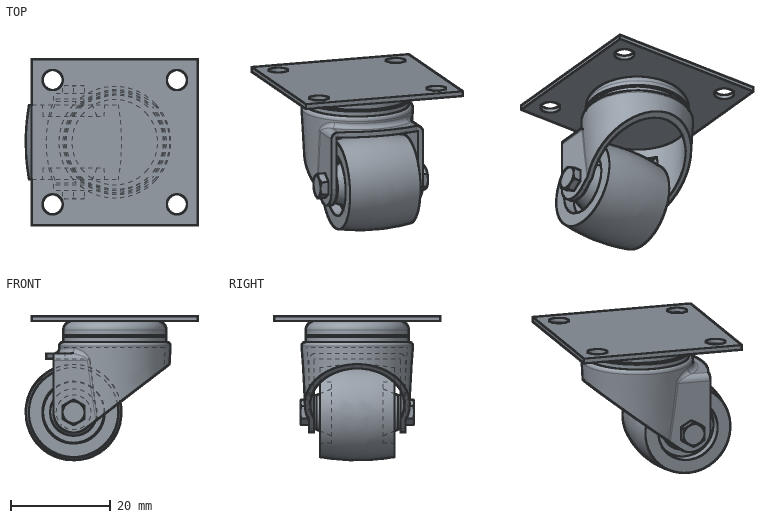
import cadquery as cq
import math


overall_height = 29.02

plate_side = 33.42
plate_thickness = 1.0
hole_diameter = 4.0
hole_spacing = 25.0

cup_radius = 10.4
cup_edge_fillet = 1.8
cup_bottom_z = -3.8
neck_radius = 9.75
ring_top_z = -4.2
ring_bottom_z = -5.2

sheet_thickness = 1.1
crown_radius = 11.24
crown_edge_fillet = crown_radius - cup_radius
crown_draft = math.radians(3.2)
crown_back_z = -9.66
arm_outer_y = 9.75
arm_top_z = -7.5
arm_end_radius = 4.05
arm_bend_radius = 1.4
blend_radius = 1.0
lip_half_width = 8.35
lip_bulge = 1.48

wheel_x = -8.29
wheel_radius = 9.66
wheel_z = wheel_radius - overall_height
wheel_side_radius = 9.0
wheel_half_width = 7.5
recess_mouth_radius = 6.27
recess_floor_radius = 6.13
recess_floor_y = 5.2
hub_base_radius = 4.72
hub_end_radius = 3.5
hub_shoulder_y = 8.2

hex_flats = 4.45
bolt_end_y = 11.45
bolt_end_radius = 2.22
bolt_chamfer_angle = math.radians(30)

crown_base_z = ring_bottom_z - crown_edge_fillet
trim_allowance = 1.0
fork_bottom_z = wheel_z - arm_end_radius - trim_allowance
arm_inner_y = arm_outer_y - sheet_thickness
arm_ceiling_z = arm_top_z - sheet_thickness
arm_front_x = wheel_x - arm_end_radius


def crown_radius_at(z):
    """Outer radius of the drafted crown wall at height z."""
    return crown_radius - (crown_base_z - z) * math.tan(crown_draft)


def revolve_about_z(points):
    return cq.Workplane("XZ").polyline(points).close().revolve(360, (0, 0), (0, 1))


def make_disc(radius, bottom_z, top_z):
    return cq.Workplane("XY", origin=(0, 0, bottom_z)).circle(radius).extrude(top_z - bottom_z)


def make_plate():
    plate = cq.Workplane("XY").rect(plate_side, plate_side).extrude(-plate_thickness)
    holes = (
        cq.Workplane("XY")
        .rect(hole_spacing, hole_spacing, forConstruction=True)
        .vertices()
        .circle(hole_diameter / 2)
        .extrude(-plate_thickness)
    )
    return plate.cut(holes)


def make_bearing():
    cup = make_disc(cup_radius, cup_bottom_z, -plate_thickness).edges(">Z").fillet(cup_edge_fillet)
    neck = make_disc(neck_radius, ring_top_z, cup_bottom_z)
    ring = make_disc(cup_radius, ring_bottom_z, ring_top_z)
    return cup.union(neck).union(ring)


def make_crown_and_arm_block():
    """Solid outer form of the fork: drafted cone, arm block and the blend between them."""
    tolerance = 0.01
    cone = revolve_about_z([
        (0, crown_base_z),
        (crown_radius, crown_base_z),
        (crown_radius_at(fork_bottom_z), fork_bottom_z),
        (0, fork_bottom_z),
    ])
    block = (
        cq.Workplane("XY")
        .box(-arm_front_x, 2 * arm_outer_y, arm_top_z - fork_bottom_z, centered=(False, True, False))
        .translate((arm_front_x, 0, fork_bottom_z))
        .edges("|X and >Z")
        .fillet(arm_bend_radius)
    )
    body = cone.union(block)
    above_bottom = [edge for edge in body.edges().vals() if edge.Center().z > fork_bottom_z + tolerance]
    below_top = [edge for edge in above_bottom if edge.BoundingBox().zmax < arm_top_z + tolerance]

    def lies_on_cone(edge):
        return all(
            abs(math.hypot(point.x, point.y) - crown_radius_at(point.z)) < tolerance
            for point in edge.positions([0, 0.3, 0.7, 1])
        )

    seam = [edge for edge in below_top if lies_on_cone(edge)]
    return body.newObject(seam).fillet(blend_radius)


def make_fork_cavity():
    """Space inside the fork: drafted inside the crown, straight between the arms."""
    cavity_top_z = ring_bottom_z - sheet_thickness
    cone = revolve_about_z([
        (0, cavity_top_z),
        (crown_radius_at(cavity_top_z) - sheet_thickness, cavity_top_z),
        (crown_radius_at(fork_bottom_z) - sheet_thickness, fork_bottom_z),
        (0, fork_bottom_z),
    ])
    between_arms = (
        cq.Workplane("XY")
        .box(-arm_front_x, 2 * arm_inner_y, arm_ceiling_z - fork_bottom_z, centered=(False, True, False))
        .translate((arm_front_x, 0, fork_bottom_z))
    )
    return cone.union(between_arms)


def make_fork_side_outline():
    """Side outline: vertical front edge, round arm end and a slanted back edge tangent to it."""
    back_x = crown_radius_at(crown_back_z)
    run = back_x - wheel_x
    rise = crown_back_z - wheel_z
    slant = math.atan2(rise, run) + math.asin(arm_end_radius / math.hypot(run, rise))

    def arm_end_point(angle):
        return (wheel_x + arm_end_radius * math.cos(angle), wheel_z + arm_end_radius * math.sin(angle))

    tangent_angle = slant - math.pi / 2
    arc_middle_angle = (tangent_angle - math.pi) / 2
    return (
        cq.Workplane("XZ")
        .moveTo(arm_front_x, 0)
        .lineTo(*arm_end_point(-math.pi))
        .threePointArc(arm_end_point(arc_middle_angle), arm_end_point(tangent_angle))
        .lineTo(back_x, crown_back_z)
        .lineTo(crown_radius, crown_back_z)
        .lineTo(crown_radius, 0)
        .close()
        .extrude(2 * crown_radius, both=True)
    )


def make_fork():
    round_drop = crown_edge_fillet * (1 - math.sqrt(0.5))
    shoulder = (
        cq.Workplane("XZ")
        .moveTo(0, crown_base_z)
        .lineTo(crown_radius, crown_base_z)
        .threePointArc((crown_radius - round_drop, ring_bottom_z - round_drop), (cup_radius, ring_bottom_z))
        .lineTo(0, ring_bottom_z)
        .close()
        .revolve(360, (0, 0), (0, 1))
    )
    lip = (
        cq.Workplane("XY", origin=(0, 0, arm_ceiling_z))
        .moveTo(arm_front_x, lip_half_width)
        .threePointArc((arm_front_x - lip_bulge, 0), (arm_front_x, -lip_half_width))
        .close()
        .extrude(sheet_thickness)
    )
    shell = make_crown_and_arm_block().cut(make_fork_cavity()).intersect(make_fork_side_outline())
    return shell.union(shoulder).union(lip)


def make_wheel():
    """Crowned tread with a recess and a tapered hub on each side; the hub ends meet the arms."""
    half_profile = [
        (recess_mouth_radius, wheel_half_width),
        (recess_floor_radius, recess_floor_y),
        (hub_base_radius, recess_floor_y),
        (hub_end_radius, hub_shoulder_y),
        (hub_end_radius, arm_inner_y),
        (0, arm_inner_y),
    ]
    mirrored = [(radius, -y) for radius, y in reversed(half_profile)]
    wheel = (
        cq.Workplane("XY")
        .moveTo(wheel_side_radius, -wheel_half_width)
        .threePointArc((wheel_radius, 0), (wheel_side_radius, wheel_half_width))
    )
    for point in half_profile + mirrored:
        wheel = wheel.lineTo(*point)
    return wheel.close().revolve(360, (0, 0), (0, 1)).translate((wheel_x, 0, wheel_z))


def make_bolt_heads():
    """Two hexagonal heads, points up and down, with their outer corners chamfered."""
    hex_corner_diameter = hex_flats / math.cos(math.pi / 6)
    chamfer_base_radius = hex_corner_diameter
    chamfer_depth = (chamfer_base_radius - bolt_end_radius) * math.tan(bolt_chamfer_angle)
    prism = (
        cq.Workplane("XZ", origin=(0, bolt_end_y, 0))
        .transformed(rotate=(0, 0, 90))
        .polygon(6, hex_corner_diameter)
        .extrude(2 * bolt_end_y)
    )
    envelope = (
        cq.Workplane("XY")
        .polyline([
            (0, bolt_end_y),
            (bolt_end_radius, bolt_end_y),
            (chamfer_base_radius, bolt_end_y - chamfer_depth),
            (chamfer_base_radius, chamfer_depth - bolt_end_y),
            (bolt_end_radius, -bolt_end_y),
            (0, -bolt_end_y),
        ])
        .close()
        .revolve(360, (0, 0), (0, 1))
    )
    inside_arms = cq.Workplane("XY").box(2 * hex_corner_diameter, 2 * arm_inner_y, 2 * hex_corner_diameter)
    return prism.intersect(envelope).cut(inside_arms).translate((wheel_x, 0, wheel_z))


result = (
    make_plate()
    .union(make_bearing())
    .union(make_fork())
    .union(make_wheel())
    .union(make_bolt_heads())
)